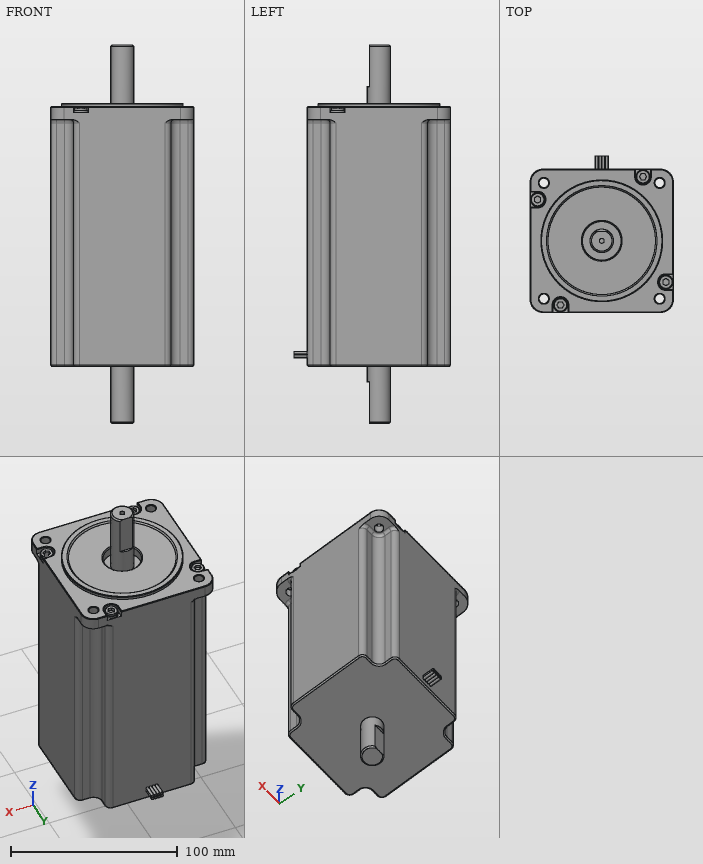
import cadquery as cq


side = 86.0
half = side / 2
body_length = 156.0
flange_thickness = 7.7
flange_corner_radius = 8.0
flange_edge_chamfer = 0.5
base_chamfer = 1.0

hole_offset = 34.7
hole_diameter = 5.7
hole_chamfer = 0.5
relief_radius = 5.5
relief_edge_radius = 3.6
relief_end_radius = 2.0
relief_overshoot = 4.5

pilot_diameter = 73.0
pilot_height = 2.0
pilot_chamfer = 0.5
face_recess_diameter = 64.5
face_recess_depth = 1.0
bore_diameter = 24.5
bore_chamfer = 0.7
bore_depth = 6.1

shaft_diameter = 14.0
front_shaft_end = 37.0
shaft_length = 227
shaft_chamfer = 1.0
flat_length = 25
flat_depth = 1.4
center_hole_diameter = 3.0
center_hole_depth = 3.5

screw_from_edge = 4.5
screw_along_edge = 24.7
screw_pocket_diameter = 9.0
screw_pocket_depth = 3.6
pocket_chamfer = 0.5
washer_diameter = 8.5
washer_thickness = 1.4
screw_head_diameter = 7.5
screw_head_depth = 1.0
socket_diameter = 4.3
socket_depth = 1.8

wire_diameter = 1.8
wire_pitch = 2.0
wire_columns = 4
wire_rows = 2
wire_length = 8.0
wire_embed = 2.3
wires_z = -148.7


def disk(diameter, bottom, top):
    return cq.Workplane("XY").workplane(offset=bottom).circle(diameter / 2).extrude(top - bottom)


def make_relief():
    """Corner cutter: a trough about the hole axis that runs out onto both outer sides.

    Its walls are rounded into the flat sides and its upper end is filleted into the flange.
    """
    wall = hole_offset - relief_radius
    run_out = wall - 2 * relief_edge_radius
    outside = half + relief_overshoot
    cutter = (
        cq.Workplane("XY")
        .workplane(offset=-flange_thickness)
        .moveTo(run_out, half)
        .lineTo(wall, half)
        .lineTo(wall, wall)
        .lineTo(half, wall)
        .lineTo(half, run_out)
        .lineTo(outside, run_out)
        .lineTo(outside, outside)
        .lineTo(run_out, outside)
        .close()
        .extrude(-body_length)
    )
    middle_height = -flange_thickness - body_length / 2
    for x, y, radius in (
        (wall, wall, relief_radius),
        (wall, half, relief_edge_radius),
        (half, wall, relief_edge_radius),
    ):
        cutter = cutter.edges(cq.selectors.NearestToPointSelector((x, y, middle_height))).fillet(radius)
    return cutter.faces(">Z").edges("not(<X or >X or <Y or >Y)").fillet(relief_end_radius)


def make_body():
    body = cq.Workplane("XY").rect(side, side).extrude(-body_length)
    body = body.edges("|Z").fillet(flange_corner_radius)
    body = body.faces(">Z").chamfer(flange_edge_chamfer)
    relief = make_relief()
    for quarter in range(4):
        body = body.cut(relief.rotate((0, 0, 0), (0, 0, 1), 90 * quarter))
    return body.faces("<Z").chamfer(base_chamfer)


def make_pilot():
    return disk(pilot_diameter, 0, pilot_height).faces(">Z").chamfer(pilot_chamfer)


def make_face_recess():
    """Shallow dish in the pilot with a 45 degree wall, and the chamfered bore around the shaft."""
    floor = pilot_height - face_recess_depth
    bore_bottom = floor - bore_depth
    dish_radius = face_recess_diameter / 2
    bore_radius = bore_diameter / 2
    profile = (
        cq.Workplane("XZ")
        .moveTo(0, pilot_height)
        .lineTo(dish_radius + face_recess_depth, pilot_height)
        .lineTo(dish_radius, floor)
        .lineTo(bore_radius, floor)
        .lineTo(bore_radius - bore_chamfer, floor - bore_chamfer)
        .lineTo(bore_radius - bore_chamfer, bore_bottom)
        .lineTo(0, bore_bottom)
        .close()
    )
    return profile.revolve(360, (0, 0, 0), (0, 1, 0))


def make_shaft():
    rear_end = front_shaft_end - shaft_length
    shaft = disk(shaft_diameter, rear_end, front_shaft_end)
    shaft = shaft.faces("<Z or >Z").chamfer(shaft_chamfer)
    for flat_center in (front_shaft_end - flat_length / 2, rear_end + flat_length / 2):
        flat = cq.Workplane("XY").box(shaft_diameter, shaft_diameter, flat_length)
        shaft = shaft.cut(flat.translate((0, shaft_diameter - flat_depth, flat_center)))
    return shaft.cut(disk(center_hole_diameter, front_shaft_end - center_hole_depth, front_shaft_end))


def make_mounting_hole():
    """Cutter for one hole, widened by a chamfer at the mounting face."""
    hole_radius = hole_diameter / 2
    profile = (
        cq.Workplane("XZ")
        .lineTo(hole_radius + hole_chamfer, 0)
        .lineTo(hole_radius, -hole_chamfer)
        .lineTo(hole_radius, -flange_thickness)
        .lineTo(0, -flange_thickness)
        .close()
    )
    return profile.revolve(360, (0, 0, 0), (0, 1, 0))


def make_screw_pocket():
    """Round-ended pocket, open at the +Y side, with a chamfered rim."""
    pocket_length = screw_pocket_diameter + 2 * screw_from_edge
    pocket = cq.Workplane("XY").center(screw_along_edge, half).slot2D(pocket_length, screw_pocket_diameter, 90)
    pocket = pocket.extrude(-screw_pocket_depth)
    rim = cq.Workplane("XY").center(screw_along_edge, half)
    rim = rim.slot2D(pocket_length + 2 * pocket_chamfer, screw_pocket_diameter + 2 * pocket_chamfer, 90)
    return pocket.union(rim.extrude(-pocket_chamfer, taper=45))


def make_screw():
    """Washer and socket-head screw standing on the pocket floor."""
    washer_top = washer_thickness - screw_pocket_depth
    screw = disk(washer_diameter, -screw_pocket_depth, washer_top)
    screw = screw.union(disk(screw_head_diameter, washer_top, -screw_head_depth))
    socket = cq.Workplane("XY").workplane(offset=-screw_head_depth).polygon(6, socket_diameter)
    screw = screw.cut(socket.extrude(-socket_depth))
    return screw.translate((screw_along_edge, half - screw_from_edge, 0))


def make_wire(column, row):
    x = (column - (wire_columns - 1) / 2) * wire_pitch
    z = wires_z + (row - (wire_rows - 1) / 2) * wire_pitch
    wire = cq.Workplane("XZ", origin=(x, half - wire_embed, z)).circle(wire_diameter / 2)
    return wire.extrude(-(wire_embed + wire_length))


result = make_body().union(make_pilot()).cut(make_face_recess())

hole = make_mounting_hole().translate((hole_offset, hole_offset, 0))
pocket = make_screw_pocket()
screw = make_screw()
for quarter in range(4):
    angle = 90 * quarter
    result = result.cut(hole.rotate((0, 0, 0), (0, 0, 1), angle))
    result = result.cut(pocket.rotate((0, 0, 0), (0, 0, 1), angle))
    result = result.union(screw.rotate((0, 0, 0), (0, 0, 1), angle))

result = result.union(make_shaft())

for column in range(wire_columns):
    for row in range(wire_rows):
        result = result.union(make_wire(column, row))